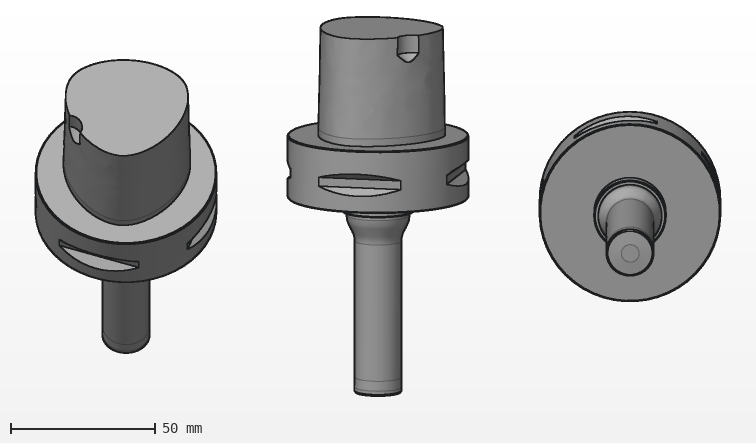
import cadquery as cq
import math

TOTAL_HEIGHT = 129.0
TAPER_START = 93.9
FLANGE_TOP = 91.2
FLANGE_BOTTOM = 69.3
COLLAR_BOTTOM = 64.2
NECK_BOTTOM = 63.1
SHAFT_TOP = 53.9
SHAFT_BOTTOM = 5.8
TIP_TOP = 2.3
TIP_EDGE = 1.0
TIP_FACE = 0.4

FLANGE_DIAMETER = 63.0
FLANGE_CHAMFER = 0.4
SLOT_COUNT = 4
SLOT_FIRST_ANGLE = 45.0
SLOT_HEIGHT = 79.1
SLOT_FLOOR_RADIUS = 27.9
SLOT_FLOOR_WIDTH = 3.1
SLOT_SIDE_ANGLE = 33.0

BASE_MEAN_RADIUS = 22.0
TOP_MEAN_RADIUS = 21.3
LOBE_AMPLITUDE = 1.3
LOBE_COUNT = 3
OUTLINE_POINTS = 48

NOTCH_RADIUS = 5.2
NOTCH_CENTER_Y = -22.6
NOTCH_BOTTOM = 122.8
NOTCH_POINT_HEIGHT = NOTCH_RADIUS

COLLAR_DIAMETER = 25.0
COLLAR_CHAMFER = 0.4
NECK_DIAMETER = 22.0
SHAFT_DIAMETER = 16.4
TIP_DIAMETER = 16.5
TIP_EDGE_CHAMFER = 0.5
TIP_FLAT_DIAMETER = 6.2


def lobed_wire(mean_radius, height):
    """Closed constant-width curve whose distance to its tangent varies with angle."""
    points = []
    for i in range(OUTLINE_POINTS):
        angle = 2 * math.pi * i / OUTLINE_POINTS
        phase = LOBE_COUNT * (angle - math.pi / 2)
        support = mean_radius + LOBE_AMPLITUDE * math.cos(phase)
        slope = -LOBE_COUNT * LOBE_AMPLITUDE * math.sin(phase)
        x = support * math.cos(angle) - slope * math.sin(angle)
        y = support * math.sin(angle) + slope * math.cos(angle)
        points.append(cq.Vector(x, y, height))
    return cq.Wire.assembleEdges([cq.Edge.makeSpline(points, periodic=True)])


def make_coupling():
    """Straight lobed base, the taper above it, and the notch in its top edge."""
    base_wire = lobed_wire(BASE_MEAN_RADIUS, FLANGE_TOP)
    base_height = cq.Vector(0, 0, TAPER_START - FLANGE_TOP)
    base = cq.Workplane(cq.Solid.extrudeLinear(base_wire, [], base_height))
    taper = cq.Solid.makeLoft(
        [lobed_wire(BASE_MEAN_RADIUS, TAPER_START), lobed_wire(TOP_MEAN_RADIUS, TOTAL_HEIGHT)]
    )
    return base.union(cq.Workplane(taper)).cut(make_notch())


def make_notch():
    """Vertical drilled hole with a conical end."""
    profile = (
        cq.Workplane("XZ")
        .moveTo(0, NOTCH_BOTTOM - NOTCH_POINT_HEIGHT)
        .lineTo(NOTCH_RADIUS, NOTCH_BOTTOM)
        .lineTo(NOTCH_RADIUS, TOTAL_HEIGHT)
        .lineTo(0, TOTAL_HEIGHT)
        .close()
    )
    return profile.revolve(360, (0, 0), (0, 1)).translate((0, NOTCH_CENTER_Y, 0))


def make_slot(angle):
    """Flat-bottomed slot with flared sides, running across the flange rim."""
    outer_radius = FLANGE_DIAMETER / 2
    depth = outer_radius - SLOT_FLOOR_RADIUS
    half_floor = SLOT_FLOOR_WIDTH / 2
    half_mouth = half_floor + depth * math.tan(math.radians(SLOT_SIDE_ANGLE))
    slot = (
        cq.Workplane("XZ")
        .polyline([
            (SLOT_FLOOR_RADIUS, SLOT_HEIGHT - half_floor),
            (outer_radius, SLOT_HEIGHT - half_mouth),
            (outer_radius, SLOT_HEIGHT + half_mouth),
            (SLOT_FLOOR_RADIUS, SLOT_HEIGHT + half_floor),
        ])
        .close()
        .extrude(outer_radius, both=True)
    )
    return slot.rotate((0, 0, 0), (0, 0, 1), angle)


def make_flange():
    """Chamfered disc with slots spaced evenly around its rim."""
    flange = (
        cq.Workplane("XY", origin=(0, 0, FLANGE_BOTTOM))
        .circle(FLANGE_DIAMETER / 2)
        .extrude(FLANGE_TOP - FLANGE_BOTTOM)
        .edges()
        .chamfer(FLANGE_CHAMFER)
    )
    for i in range(SLOT_COUNT):
        flange = flange.cut(make_slot(SLOT_FIRST_ANGLE + i * 360 / SLOT_COUNT))
    return flange


def make_holder():
    return make_flange().union(make_coupling())


def make_tool():
    """Collar, neck, shaft and shallow conical tip, all turned about Z.

    Smooth S-shaped curves blend the neck into the shaft and the shaft into the tip.
    """
    collar_radius = COLLAR_DIAMETER / 2
    neck_radius = NECK_DIAMETER / 2
    shaft_radius = SHAFT_DIAMETER / 2
    tip_radius = TIP_DIAMETER / 2
    downward = (0, -1)
    profile = (
        cq.Workplane("XZ")
        .moveTo(0, FLANGE_BOTTOM)
        .lineTo(collar_radius, FLANGE_BOTTOM)
        .lineTo(collar_radius, COLLAR_BOTTOM + COLLAR_CHAMFER)
        .lineTo(collar_radius - COLLAR_CHAMFER, COLLAR_BOTTOM)
        .lineTo(neck_radius, COLLAR_BOTTOM)
        .lineTo(neck_radius, NECK_BOTTOM)
        .spline([(shaft_radius, SHAFT_TOP)], tangents=[downward, downward], includeCurrent=True)
        .lineTo(shaft_radius, SHAFT_BOTTOM)
        .spline([(tip_radius, TIP_TOP)], tangents=[downward, downward], includeCurrent=True)
        .lineTo(tip_radius, TIP_EDGE)
        .lineTo(tip_radius - TIP_EDGE_CHAMFER, TIP_FACE)
        .lineTo(TIP_FLAT_DIAMETER / 2, 0)
        .lineTo(0, 0)
        .close()
    )
    return profile.revolve(360, (0, 0), (0, 1))


holder = make_holder()
tool = make_tool()

result = cq.Compound.makeCompound([holder.val(), tool.val()])